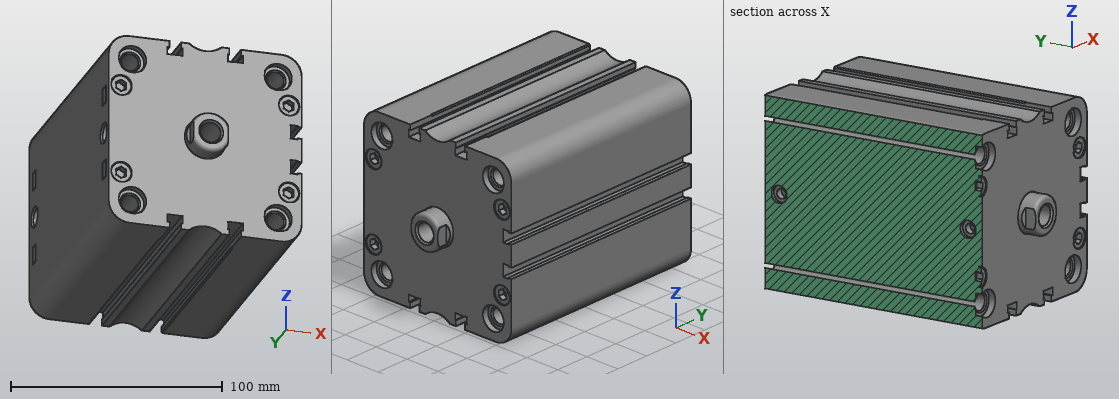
import cadquery as cq
import math

total_length = 133
body_size = 95.5
rod_reach = 9.0
body_length = total_length - rod_reach
half_size = body_size / 2
front_y = -body_length / 2
rear_y = body_length / 2
corner_radius = 10.0

face_slot_offset = 15.0
face_slot_lip_inner = 11.8
face_slot_lip_outer = 17.7
face_slot_bevel = 0.7
face_slot_width = 7.5
face_slot_lip = 3.0
face_slot_depth = 6.8
side_slot_offset = 8.9
side_slot_opening = 5.9
side_slot_width = 6.9
side_slot_lip = 2.1
side_slot_depth = 5.5
end_cap_length = 15.0

channel_width = 16.1
channel_depth = 2.9

mount_offset = 36.0
mount_hole_diameter = 8.5
mount_mouth_diameter = 10.0
mount_counterbore_diameter = 13.5
mount_counterbore_depth = 3.6

screw_x = 41.5
screw_z = 22.2
screw_hole_diameter = 10.2
screw_head_diameter = 9.8
screw_gap_depth = 2.0
screw_head_recess = 0.5
hex_across_flats = 5.0
hex_depth = 4

port_inset = 8.1
port_mouth_diameter = 10.2
port_diameter = 8.5
port_depth = 9.3
port_drill_diameter = 5.0
port_drill_depth = 13.3

label_offset = 18.9
label_height = 8.4
label_inner_edge = 10.1
front_label_width = 5.3
rear_label_width = 4.9
label_depth = 0.1

rod_diameter = 20
rod_clearance_diameter = 20.5
rod_clearance_depth = 2.7
rod_edge_radius = 1.9
rod_flats_width = 17.2
rod_flats_length = 5.7
rod_bore_diameter = 10.1
rod_bore_mouth_diameter = 12
rod_bore_depth = 20


def xz_box(x_min, x_max, z_min, z_max, y_start, y_end):
    """Box given by its limits along each axis."""
    size = (x_max - x_min, y_end - y_start, z_max - z_min)
    return cq.Workplane("XY").box(*size, centered=False).translate((x_min, y_start, z_min))


def rod_along_y(x, z, diameter, y_start, length):
    """Cylinder running from y_start toward +Y."""
    start = cq.Vector(x, y_start, z)
    return cq.Workplane(cq.Solid.makeCylinder(diameter / 2, length, start, cq.Vector(0, 1, 0)))


def cone_along(start, direction, start_diameter, end_diameter):
    """45 degree cone, used for the bevelled mouth of a hole."""
    height = (start_diameter - end_diameter) / 2
    return cq.Workplane(cq.Solid.makeCone(start_diameter / 2, end_diameter / 2, height, start, direction))


def make_block():
    block = cq.Workplane("XY").box(body_size, body_length, body_size)
    return block.edges("|Y").fillet(corner_radius)


def face_slot_cutter():
    """T-slot of the +Z face on the +X side."""
    half_width = face_slot_width / 2
    lip_z = half_size - face_slot_lip
    floor_z = half_size - face_slot_depth
    inner_x = face_slot_offset - half_width
    outer_x = face_slot_offset + half_width
    cutter = xz_box(inner_x, outer_x, floor_z, lip_z, front_y, rear_y)
    cutter = cutter.union(
        xz_box(face_slot_lip_inner, face_slot_lip_outer, floor_z, half_size, front_y, rear_y)
    )
    bevel = (
        cq.Workplane("XZ", origin=(0, front_y + end_cap_length, 0))
        .polyline([
            (face_slot_lip_outer, half_size),
            (face_slot_lip_outer + face_slot_bevel, half_size),
            (face_slot_lip_outer, half_size - face_slot_bevel),
        ])
        .close()
        .extrude(end_cap_length - body_length)
    )
    return cutter.union(bevel)


def side_slot_cutter():
    """T-slot of the +X face on the +Z side."""
    floor_x = half_size - side_slot_depth
    lip_x = half_size - side_slot_lip
    z_low = side_slot_offset - side_slot_width / 2
    cutter = xz_box(floor_x, lip_x, z_low, z_low + side_slot_width, front_y, rear_y)
    opening_low = side_slot_offset - side_slot_opening / 2
    return cutter.union(
        xz_box(floor_x, half_size, opening_low, opening_low + side_slot_opening, front_y, rear_y)
    )


def channel_cutter():
    """Round channel of the +Z face."""
    radius = ((channel_width / 2) ** 2 + channel_depth**2) / (2 * channel_depth)
    axis_z = half_size - channel_depth + radius
    return rod_along_y(0, axis_z, 2 * radius, front_y, body_length)


def mount_cutter(x, z):
    cutter = rod_along_y(x, z, mount_hole_diameter, front_y, body_length)
    floor_point = cq.Vector(x, front_y + mount_counterbore_depth, z)
    cutter = cutter.union(
        cone_along(floor_point, cq.Vector(0, 1, 0), mount_mouth_diameter, mount_hole_diameter)
    )
    return cutter.union(rod_along_y(x, z, mount_counterbore_diameter, front_y, mount_counterbore_depth))


def screw_cutter(x, z):
    """Narrow gap round a screw head that sits just below the face, with its hex socket."""
    head = rod_along_y(x, z, screw_head_diameter, front_y + screw_head_recess, screw_gap_depth)
    gap = rod_along_y(x, z, screw_hole_diameter, front_y, screw_gap_depth).cut(head)
    corner_diameter = hex_across_flats / math.cos(math.pi / 6)
    socket = (
        cq.Workplane("XZ", origin=(x, front_y, z))
        .transformed(rotate=(0, 0, 90))
        .polygon(6, corner_diameter)
        .extrude(-hex_depth)
    )
    return gap.union(socket)


def port_cutter(y):
    start = cq.Vector(-half_size, y, 0)
    inward = cq.Vector(1, 0, 0)
    cutter = cone_along(start, inward, port_mouth_diameter, port_diameter)
    for diameter, depth in ((port_diameter, port_depth), (port_drill_diameter, port_drill_depth)):
        cutter = cutter.union(cq.Workplane(cq.Solid.makeCylinder(diameter / 2, depth, start, inward)))
    return cutter


def label_cutter(y_start, y_end, z):
    z_low = z - label_height / 2
    return xz_box(-half_size, -half_size + label_depth, z_low, z_low + label_height, y_start, y_end)


def make_rod():
    """Rod end with two wrench flats that run out at 45 degrees."""
    tip_y = front_y - rod_reach
    length = rod_reach + rod_clearance_depth
    rod = rod_along_y(0, 0, rod_diameter, tip_y, length).faces("<Y").edges().fillet(rod_edge_radius)
    flat_x = rod_flats_width / 2
    outer_x = rod_diameter / 2
    run_out_y = tip_y + rod_flats_length
    flat = (
        cq.Workplane("XY")
        .polyline([
            (flat_x, tip_y),
            (flat_x, run_out_y),
            (outer_x, run_out_y + outer_x - flat_x),
            (outer_x, tip_y),
        ])
        .close()
        .extrude(rod_diameter / 2, both=True)
    )
    return rod.cut(flat).cut(flat.mirror("YZ"))


def rod_bore_cutter():
    tip_y = front_y - rod_reach
    mouth = cone_along(
        cq.Vector(0, tip_y, 0), cq.Vector(0, 1, 0), rod_bore_mouth_diameter, rod_bore_diameter
    )
    return rod_along_y(0, 0, rod_bore_diameter, tip_y, rod_bore_depth).union(mouth)


result = make_block()

upper_channel = channel_cutter()
result = result.cut(upper_channel).cut(upper_channel.mirror("XY"))

right_upper_slot = face_slot_cutter()
for slot in (right_upper_slot, right_upper_slot.mirror("YZ")):
    result = result.cut(slot).cut(slot.mirror("XY"))

upper_side_slot = side_slot_cutter()
result = result.cut(upper_side_slot).cut(upper_side_slot.mirror("XY"))

for x_sign in (-1, 1):
    for z_sign in (-1, 1):
        result = result.cut(mount_cutter(x_sign * mount_offset, z_sign * mount_offset))
        result = result.cut(screw_cutter(x_sign * screw_x, z_sign * screw_z))

for port_y in (front_y + port_inset, rear_y - port_inset):
    result = result.cut(port_cutter(port_y))

front_label_end = front_y + label_inner_edge
rear_label_start = rear_y - label_inner_edge
for label_z in (-label_offset, label_offset):
    result = result.cut(label_cutter(front_label_end - front_label_width, front_label_end, label_z))
    result = result.cut(label_cutter(rear_label_start, rear_label_start + rear_label_width, label_z))

result = result.cut(rod_along_y(0, 0, rod_clearance_diameter, front_y, rod_clearance_depth))
result = result.union(make_rod()).cut(rod_bore_cutter())